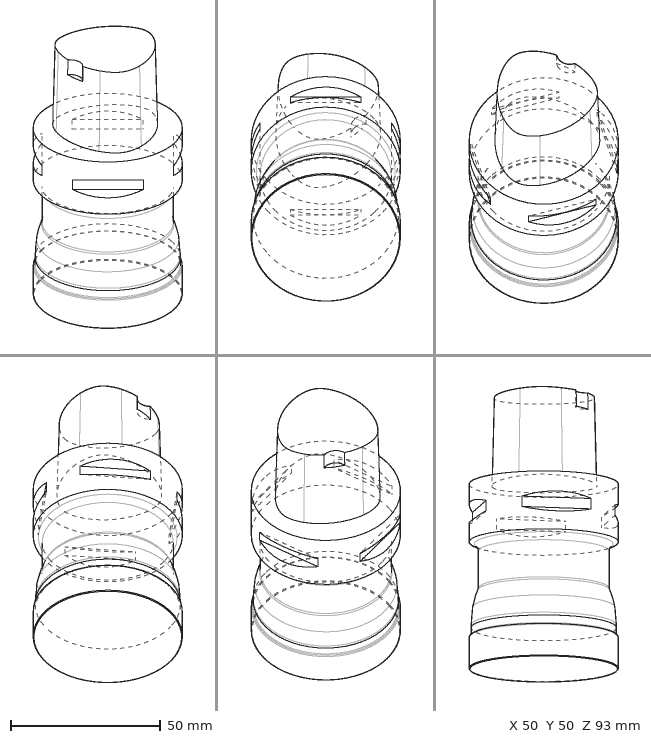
import cadquery as cq
import math

total_height = 93.0
outer_radius = 50.0 / 2
neck_radius = 44.0 / 2
shoulder_radius = 48.7 / 2

ring_rim_z = 10.8
split_z = 14.0
shoulder_land_top_z = 15.0
shoulder_cone_top_z = 20.9
shoulder_curve_top_z = 26.7
neck_bottom_z = 27.4
neck_top_z = 40.1
flange_bevel_z = 42.6
flange_bottom_z = 43.2
flange_top_z = 63.0

shoulder_cone_top_radius = 23.9
shoulder_curve_mid_radius = 23.25
shoulder_curve_top_radius = 22.2
flange_bevel_radius = 23.25
undercut_mid_radius = 22.2
undercut_mid_z = 41.4
bottom_chamfer = 0.3

shank_base_radius = 17.6
shank_top_radius = 16.8
lobe_height = 1.2
flank_half_angle = 24.0
points_per_face = 9

notch_radius = 4.5
notch_apex_y = -13.8
notch_depth = 5.6

slot_count = 4
slot_first_angle = 45.0
slot_z = 52.8
slot_floor_distance = 22.0
slot_floor_height = 3.5
slot_mouth_height = 6.8


def make_ring():
    """Bottom clamping ring with a stepped upper rim, rounded by two equal quarter arcs."""
    rim_round = (outer_radius - shoulder_radius) / 2
    return (
        cq.Workplane("XZ")
        .moveTo(0, 0)
        .lineTo(outer_radius - bottom_chamfer, 0)
        .lineTo(outer_radius, bottom_chamfer)
        .lineTo(outer_radius, ring_rim_z)
        .tangentArcPoint((-rim_round, rim_round))
        .tangentArcPoint((-rim_round, rim_round))
        .lineTo(shoulder_radius, split_z)
        .lineTo(0, split_z)
        .close()
        .revolve(360, (0, 0, 0), (0, 1, 0))
    )


def make_turned_body():
    """Revolved shoulder, neck and flange below the shank."""
    curve_mid = (shoulder_curve_mid_radius, (shoulder_cone_top_z + shoulder_curve_top_z) / 2)
    curve_top = (shoulder_curve_top_radius, shoulder_curve_top_z)
    return (
        cq.Workplane("XZ")
        .moveTo(0, split_z)
        .lineTo(shoulder_radius, split_z)
        .lineTo(shoulder_radius, shoulder_land_top_z)
        .lineTo(shoulder_cone_top_radius, shoulder_cone_top_z)
        .threePointArc(curve_mid, curve_top)
        .lineTo(neck_radius, neck_bottom_z)
        .lineTo(neck_radius, neck_top_z)
        .threePointArc((undercut_mid_radius, undercut_mid_z), (flange_bevel_radius, flange_bevel_z))
        .lineTo(outer_radius, flange_bottom_z)
        .lineTo(outer_radius, flange_top_z)
        .lineTo(0, flange_top_z)
        .close()
        .revolve(360, (0, 0, 0), (0, 1, 0))
    )


def lobed_point(mean_radius, degrees, z):
    """Point of a constant-width curve whose outward normal has this angle; one lobe points to +Y."""
    normal = math.radians(degrees)
    phase = 3 * (normal - math.pi / 2)
    support = mean_radius + lobe_height * math.cos(phase)
    slope = -3 * lobe_height * math.sin(phase)
    x = support * math.cos(normal) - slope * math.sin(normal)
    y = support * math.sin(normal) + slope * math.cos(normal)
    return cq.Vector(x, y, z)


def lobed_wire(mean_radius, z):
    """Closed outline of three shallow flanks alternating with three rounded lobes."""
    edges = []
    for flank_angle in (-90, 30, 150):
        flank_start = flank_angle - flank_half_angle
        flank_end = flank_angle + flank_half_angle
        next_flank_start = flank_start + 120
        for start, end in ((flank_start, flank_end), (flank_end, next_flank_start)):
            step = (end - start) / (points_per_face - 1)
            points = [lobed_point(mean_radius, start + i * step, z) for i in range(points_per_face)]
            edges.append(cq.Edge.makeSpline(points))
    return cq.Wire.assembleEdges(edges)


def make_shank():
    base = lobed_wire(shank_base_radius, flange_top_z)
    top = lobed_wire(shank_top_radius, total_height)
    return cq.Workplane(cq.Solid.makeLoft([base, top], True))


def make_notch():
    """Round-backed cutter for the notch in the flank facing -Y."""
    return (
        cq.Workplane("XY", origin=(0, notch_apex_y - notch_radius, total_height - notch_depth))
        .circle(notch_radius)
        .extrude(notch_depth)
    )


def make_slot(angle):
    """Cutter with a flat floor and flared sides, running straight across the flange."""
    floor_half = slot_floor_height / 2
    mouth_half = slot_mouth_height / 2
    return (
        cq.Workplane("XZ")
        .moveTo(slot_floor_distance, slot_z - floor_half)
        .lineTo(outer_radius, slot_z - mouth_half)
        .lineTo(outer_radius, slot_z + mouth_half)
        .lineTo(slot_floor_distance, slot_z + floor_half)
        .close()
        .extrude(outer_radius, both=True)
        .rotate((0, 0, 0), (0, 0, 1), angle)
    )


def make_holder():
    """Tool holder: turned body and lobed shank, with its notch and gripper slots."""
    holder = make_turned_body().union(make_shank()).cut(make_notch())
    for i in range(slot_count):
        holder = holder.cut(make_slot(slot_first_angle + i * 360 / slot_count))
    return holder


ring = make_ring()
holder = make_holder()
result = cq.Compound.makeCompound([ring.val(), holder.val()])